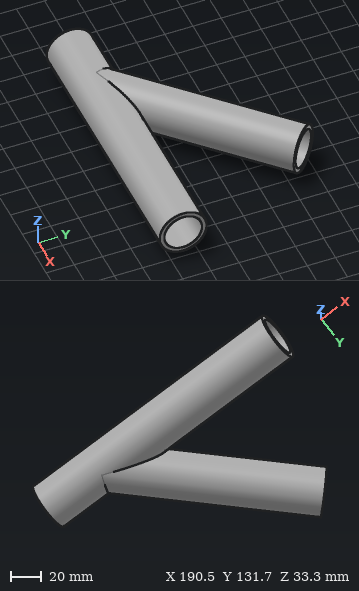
import cadquery as cq

run_length = 190.5
outer_diameter = 33.3
bore_diameter = 26.7
branch_angle = 45.0
branch_length = 146.1
junction_x = 44.2


def run_cylinder(diameter):
    """Straight cylinder along X over the full length of the run."""
    return cq.Workplane("YZ").circle(diameter / 2).extrude(run_length)


def branch_cylinder(diameter):
    """Cylinder from the junction out along the inclined branch axis."""
    junction = (junction_x, 0, 0)
    return (
        cq.Workplane("YZ", origin=junction)
        .circle(diameter / 2)
        .extrude(branch_length)
        .rotate(junction, (junction_x, 0, 1), branch_angle)
    )


body = run_cylinder(outer_diameter).union(branch_cylinder(outer_diameter))
result = body.cut(run_cylinder(bore_diameter)).cut(branch_cylinder(bore_diameter))